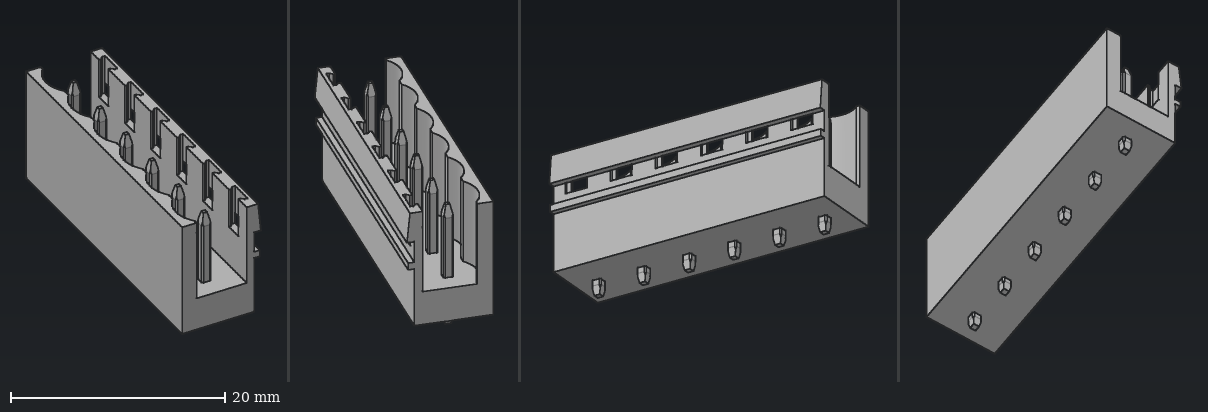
import cadquery as cq


POLE_COUNT = 6
LENGTH = 30.0
PITCH = LENGTH / POLE_COUNT
POLE_POSITIONS = [(i - (POLE_COUNT - 1) / 2) * PITCH for i in range(POLE_COUNT)]

HEIGHT = 12.0
FLOOR_TOP = 3.5
FRONT_WALL_INNER_Y = 1.55
BACK_WALL_INNER_Y = 6.9
BACK_WALL_OUTER_Y = 7.7

LIP_TOP_Y = 8.13
LIP_BOTTOM_Y = 8.43
LIP_BOTTOM_Z = 8.9
RIB_Y = 8.3
RIB_BOTTOM_Z = 6.03
RIB_TOP_Z = 6.75

SCALLOP_CHORD = 4.25
SCALLOP_DEPTH = 0.8

SLOT_MOUTH_WIDTH = 1.8
SLOT_BACK_WIDTH = 2.4
SLOT_NECK_DEPTH = 0.2
SLOT_FLARE_DEPTH = 0.3
SLOT_FLOOR_Z = 7.83

PIN_Y = 3.75
PIN_WIDTH = 1.0
PIN_CORNER_CHAMFER = 0.15
PIN_TOP = 11.1
PIN_BOTTOM = -1.5
TOP_TIP_LENGTH = 1.25
TOP_TIP_WIDTH = 0.4
BOTTOM_TIP_LENGTH = 0.95
BOTTOM_TIP_WIDTH = 0.6


def make_channel():
    """U-shaped section with the lip and rib, extruded along the row."""
    section = [
        (0, 0),
        (BACK_WALL_OUTER_Y, 0),
        (BACK_WALL_OUTER_Y, RIB_BOTTOM_Z),
        (RIB_Y, RIB_BOTTOM_Z),
        (RIB_Y, RIB_TOP_Z),
        (BACK_WALL_OUTER_Y, RIB_TOP_Z),
        (BACK_WALL_OUTER_Y, LIP_BOTTOM_Z),
        (LIP_BOTTOM_Y, LIP_BOTTOM_Z),
        (LIP_TOP_Y, HEIGHT),
        (BACK_WALL_INNER_Y, HEIGHT),
        (BACK_WALL_INNER_Y, FLOOR_TOP),
        (FRONT_WALL_INNER_Y, FLOOR_TOP),
        (FRONT_WALL_INNER_Y, HEIGHT),
        (0, HEIGHT),
    ]
    return cq.Workplane("YZ").polyline(section).close().extrude(LENGTH / 2, both=True)


def make_scallop(x):
    """Arched recess in the front wall, from the channel floor to the top."""
    return (
        cq.Workplane("XY", origin=(x, FRONT_WALL_INNER_Y, FLOOR_TOP))
        .moveTo(-SCALLOP_CHORD / 2, 0)
        .threePointArc((0, -SCALLOP_DEPTH), (SCALLOP_CHORD / 2, 0))
        .close()
        .extrude(HEIGHT - FLOOR_TOP)
    )


def make_slot(x):
    """Dovetail slot as deep as the back wall, so it is open to the back below the lip."""
    half_mouth = SLOT_MOUTH_WIDTH / 2
    half_back = SLOT_BACK_WIDTH / 2
    flare_end = SLOT_NECK_DEPTH + SLOT_FLARE_DEPTH
    slot_depth = BACK_WALL_OUTER_Y - BACK_WALL_INNER_Y
    outline = [
        (-half_mouth, 0),
        (half_mouth, 0),
        (half_mouth, SLOT_NECK_DEPTH),
        (half_back, flare_end),
        (half_back, slot_depth),
        (-half_back, slot_depth),
        (-half_back, flare_end),
        (-half_mouth, SLOT_NECK_DEPTH),
    ]
    return (
        cq.Workplane("XY", origin=(x, BACK_WALL_INNER_Y, SLOT_FLOOR_Z))
        .polyline(outline)
        .close()
        .extrude(HEIGHT - SLOT_FLOOR_Z)
    )


def make_tip_envelope(x, base_z, tip_z, tip_width):
    """Square frustum narrowing from the full pin width to the pin end."""
    return (
        cq.Workplane("XY", origin=(x, PIN_Y, base_z))
        .rect(PIN_WIDTH, PIN_WIDTH)
        .workplane(offset=tip_z - base_z)
        .rect(tip_width, tip_width)
        .loft()
    )


def make_pin(x):
    """Square pin with chamfered long edges and a tapered tip at each end."""
    top_shoulder = PIN_TOP - TOP_TIP_LENGTH
    bottom_shoulder = PIN_BOTTOM + BOTTOM_TIP_LENGTH
    envelope = (
        cq.Workplane("XY", origin=(x, PIN_Y, bottom_shoulder))
        .rect(PIN_WIDTH, PIN_WIDTH)
        .extrude(top_shoulder - bottom_shoulder)
        .union(make_tip_envelope(x, top_shoulder, PIN_TOP, TOP_TIP_WIDTH))
        .union(make_tip_envelope(x, bottom_shoulder, PIN_BOTTOM, BOTTOM_TIP_WIDTH))
    )
    chamfered_bar = (
        cq.Workplane("XY", origin=(x, PIN_Y, PIN_BOTTOM))
        .rect(PIN_WIDTH, PIN_WIDTH)
        .extrude(PIN_TOP - PIN_BOTTOM)
        .edges("|Z")
        .chamfer(PIN_CORNER_CHAMFER)
    )
    return chamfered_bar.intersect(envelope).solids()


def make_housing(pins):
    """Channel with one scallop, one slot and one matching pin hole per pole."""
    body = make_channel()
    for x in POLE_POSITIONS:
        body = body.cut(make_scallop(x)).cut(make_slot(x))
    for pin in pins:
        body = body.cut(pin)
    return body.solids()


pins = [make_pin(x) for x in POLE_POSITIONS]
housing = make_housing(pins)

result = cq.Compound.makeCompound([housing.val(), *[pin.val() for pin in pins]])